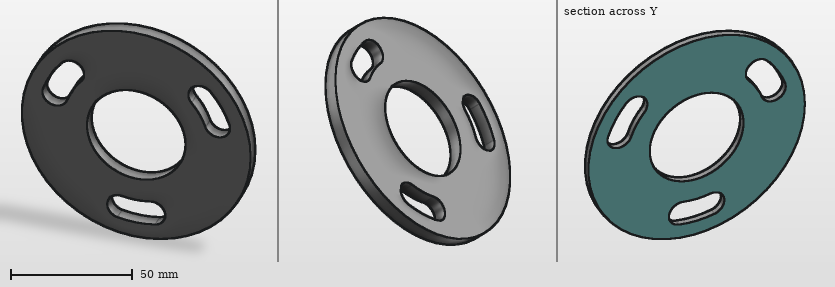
import cadquery as cq
import math

disc_diameter = 100.0
thickness = 6.0
bore_diameter = 43.0

slot_count = 3
slot_path_radius = 37.5
slot_width = 11.0
slot_half_angle = 11.0
first_slot_angle = -90.0

slot_inner_radius = slot_path_radius - slot_width / 2
slot_outer_radius = slot_path_radius + slot_width / 2


def polar(radius, angle):
    """Point at a radius and an angle in degrees around the ring centre."""
    radians = math.radians(angle)
    return (radius * math.cos(radians), radius * math.sin(radians))


def curved_slot(middle_angle):
    """Arc-shaped slot with round ends, as a solid as thick as the ring."""
    start = middle_angle - slot_half_angle
    end = middle_angle + slot_half_angle
    return (
        cq.Workplane("XZ")
        .moveTo(*polar(slot_inner_radius, start))
        .threePointArc(polar(slot_inner_radius, middle_angle), polar(slot_inner_radius, end))
        .tangentArcPoint(polar(slot_outer_radius, end), relative=False)
        .threePointArc(polar(slot_outer_radius, middle_angle), polar(slot_outer_radius, start))
        .tangentArcPoint(polar(slot_inner_radius, start), relative=False)
        .close()
        .extrude(thickness)
    )


result = (
    cq.Workplane("XZ")
    .circle(disc_diameter / 2)
    .circle(bore_diameter / 2)
    .extrude(thickness)
)

for i in range(slot_count):
    result = result.cut(curved_slot(first_slot_angle + i * 360 / slot_count))